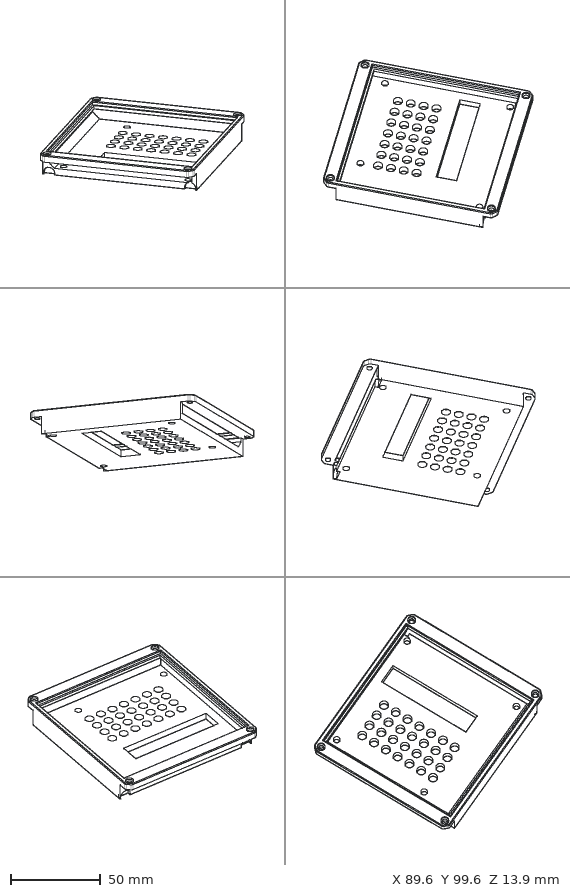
import cadquery as cq

width = 89.6
length = 99.6
height = 13.9

flange_thickness = 4.0
flange_bottom = height - flange_thickness
corner_cut = 2.8
corner_radius = 1.7
edge_chamfer = 0.5

floor_thickness = 4.0
cavity_side = 84.1
wall_inner_x = cavity_side / 2
tray_end_y = cavity_side / 2
wall_foot_run = 4.0
wall_foot_rise = 3.9

lip_width = 1.2
lip_thickness = 2.0
lip_top = flange_bottom + lip_thickness

screw_x = 41.0
screw_y = 46.0
screw_hole_diameter = 3.0
screw_head_diameter = 4.4
screw_head_depth = 1.0
screw_cone_depth = (screw_head_diameter - screw_hole_diameter) / 2

relief_radius = 3.3
relief_center_z = 0.9
relief_depth = 2.0

grid_columns = 7
grid_rows = 4
grid_hole_diameter = 5.0
grid_start_x = -18.9
grid_start_y = 2.1
grid_pitch_x = 7.83
grid_pitch_y = 7.35

window_length = 56.0
window_width = 11.7
window_center_x = 9.0
window_center_y = -14.9

mount_hole_diameter = 3.7
mount_right_x = 38.5
mount_back_left_x = -19.5
mount_front_left_x = -34.1
mount_back_y = 34.1
mount_front_y = -37.5


def block(size_x, size_y, z_bottom, z_top):
    """Box centred on X = Y = 0 between two heights."""
    return (
        cq.Workplane("XY")
        .workplane(offset=z_bottom)
        .rect(size_x, size_y)
        .extrude(z_top - z_bottom)
    )


def vertical_cylinders(points, diameter, z_bottom, z_top):
    """Equal upright cylinders at the given XY points."""
    return (
        cq.Workplane("XY")
        .workplane(offset=z_bottom)
        .pushPoints(points)
        .circle(diameter / 2)
        .extrude(z_top - z_bottom)
    )


def make_flange():
    """Frame with cut, rounded corners and chamfered top edges."""
    plate = (
        block(width, length, flange_bottom, height)
        .edges("|Z").chamfer(corner_cut)
        .edges("|Z").fillet(corner_radius)
    )
    frame = plate.cut(block(cavity_side, cavity_side, flange_bottom, height))
    return frame.faces(">Z").edges().chamfer(edge_chamfer)


def make_lip():
    """Lip along -X, +X and +Y; the -Y side stays clear."""
    ring = block(cavity_side, cavity_side, flange_bottom, lip_top)
    opening = block(cavity_side - 2 * lip_width, cavity_side, flange_bottom, lip_top)
    return ring.cut(opening.translate((0, -lip_width, 0)))


def make_tray():
    """Floor and side walls as one profile along Y, sloped at the foot of the -X wall."""
    outer_x = width / 2
    profile = [
        (-outer_x, 0),
        (outer_x, 0),
        (outer_x, flange_bottom),
        (wall_inner_x, flange_bottom),
        (wall_inner_x, floor_thickness),
        (-wall_inner_x + wall_foot_run, floor_thickness),
        (-wall_inner_x, floor_thickness + wall_foot_rise),
        (-wall_inner_x, flange_bottom),
        (-outer_x, flange_bottom),
    ]
    return cq.Workplane("XZ").polyline(profile).close().extrude(tray_end_y, both=True)


def make_screw_hole():
    """Revolved cutter for one screw: head bore, cone, then through hole."""
    hole_radius = screw_hole_diameter / 2
    head_radius = screw_head_diameter / 2
    cone_top = height - screw_head_depth
    profile = [
        (0, flange_bottom),
        (hole_radius, flange_bottom),
        (hole_radius, cone_top - screw_cone_depth),
        (head_radius, cone_top),
        (head_radius, height),
        (0, height),
    ]
    return cq.Workplane("XZ").polyline(profile).close().revolve(360, (0, 0, 0), (0, 1, 0))


def make_reliefs():
    """Cutters for the two round reliefs in the -Y end of the tray."""
    return (
        cq.Workplane("XZ", origin=(0, -tray_end_y, 0))
        .pushPoints([(-screw_x, relief_center_z), (screw_x, relief_center_z)])
        .circle(relief_radius)
        .extrude(-relief_depth)
    )


def make_floor_openings():
    """Cutters for the hole grid, the mounting holes and the display window."""
    grid_points = [
        (grid_start_x + column * grid_pitch_x, grid_start_y + row * grid_pitch_y)
        for column in range(grid_columns)
        for row in range(grid_rows)
    ]
    mount_points = [
        (mount_back_left_x, mount_back_y),
        (mount_right_x, mount_back_y),
        (mount_front_left_x, mount_front_y),
        (mount_right_x, mount_front_y),
    ]
    window = block(window_length, window_width, 0, floor_thickness)
    grid_holes = vertical_cylinders(grid_points, grid_hole_diameter, 0, floor_thickness)
    mount_holes = vertical_cylinders(mount_points, mount_hole_diameter, 0, floor_thickness)
    return [window.translate((window_center_x, window_center_y, 0)), grid_holes, mount_holes]


result = make_tray().union(make_flange()).union(make_lip())

for cutter in make_floor_openings():
    result = result.cut(cutter)

for side_x in (-1, 1):
    for side_y in (-1, 1):
        result = result.cut(make_screw_hole().translate((side_x * screw_x, side_y * screw_y, 0)))

result = result.cut(make_reliefs())